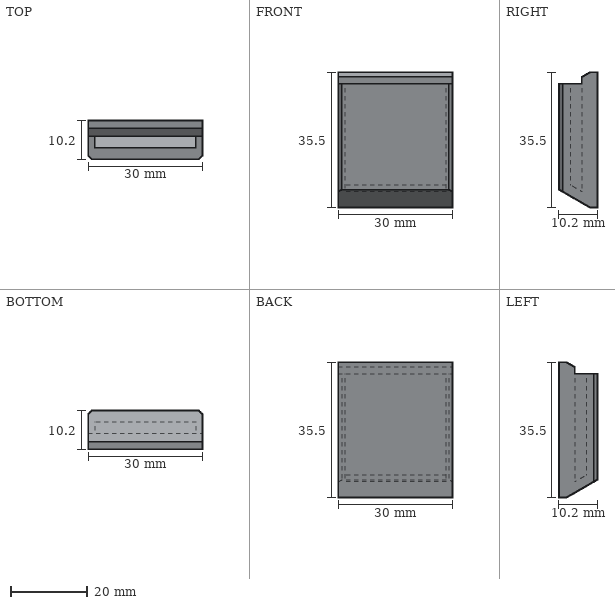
import cadquery as cq
import math

width = 30.0
depth = 10.2
height = 35.5

end_land = 2.0
bevel_slope = math.tan(math.radians(30))
lip_thickness = 4.2
shoulder_drop = 3.0
corner_chamfer = 1.0

slot_width = 26.5
front_wall = 3.0
floor_thickness = 3.0

shoulder_height = height - shoulder_drop
slot_back = lip_thickness
slot_front = depth - front_wall


def bevel_offset(distance_from_back):
    """Vertical distance of a bevel from its end face, at a distance from the back."""
    return (distance_from_back - end_land) * bevel_slope


def extrude_profile(points, length):
    """Extrude a closed YZ outline along X, centred on the part."""
    return cq.Workplane("YZ").polyline(points).close().extrude(length / 2, both=True)


def make_body():
    """Side profile extruded across the width, with chamfered front corners."""
    profile = [
        (0, 0),
        (0, height),
        (-end_land, height),
        (-lip_thickness, height - bevel_offset(lip_thickness)),
        (-lip_thickness, shoulder_height),
        (-depth, shoulder_height),
        (-depth, bevel_offset(depth)),
        (-end_land, 0),
    ]
    body = extrude_profile(profile, width)
    return body.faces("<Y").edges("|Z").chamfer(corner_chamfer)


def make_slot():
    """Pocket just in front of the back wall, with a sloping floor."""
    profile = [
        (-slot_back, shoulder_height),
        (-slot_front, shoulder_height),
        (-slot_front, bevel_offset(slot_front) + floor_thickness),
        (-slot_back, bevel_offset(slot_back) + floor_thickness),
    ]
    return extrude_profile(profile, slot_width)


result = make_body().cut(make_slot())